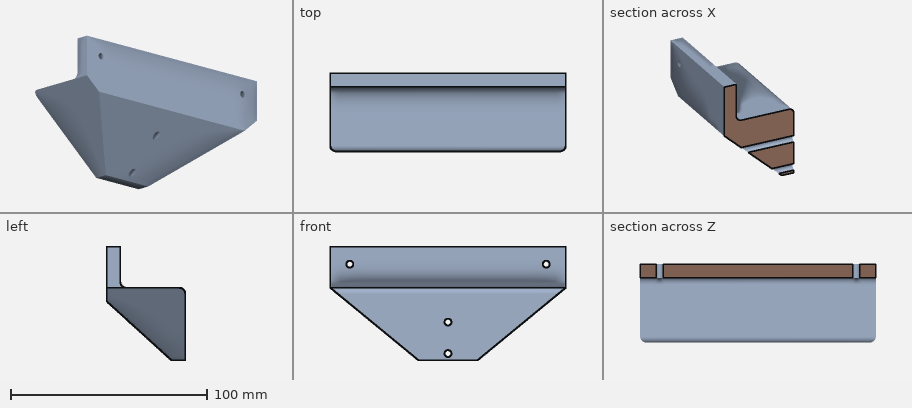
import cadquery as cq

width = 120.0
depth = 40.0
height = 58.0
wall = 7.0
shelf_top = 37.0
bend_radius = 3.0
foot_width = 30.0
hole_diameter = 3.4

upper_hole_spacing = 100.0
upper_hole_z = (height + shelf_top + bend_radius) / 2
lower_hole_heights = (3.5, 19.5)

shelf_underside = shelf_top - wall
back_plate_front = depth - wall


def side_profile_body():
    """Back plate, shelf and wedge-shaped front, extruded along X."""
    outline = [
        (0, 0),
        (wall, 0),
        (depth, shelf_underside),
        (depth, height),
        (back_plate_front, height),
        (back_plate_front, shelf_top),
        (0, shelf_top),
    ]
    return cq.Workplane("YZ").polyline(outline).close().extrude(width / 2, both=True)


def round_shelf_edges(body):
    """Round the shelf's front edge and its inner corner with the back plate."""
    middle_y = back_plate_front / 2
    shelf_face = body.faces(cq.selectors.NearestToPointSelector((0, middle_y, shelf_top)))
    return shelf_face.edges("|X").fillet(bend_radius)


def front_outline():
    """Prism along Y that tapers from the full width at the shelf to the foot."""
    outline = [
        (-foot_width / 2, 0),
        (foot_width / 2, 0),
        (width / 2, shelf_top),
        (width / 2, height),
        (-width / 2, height),
        (-width / 2, shelf_top),
    ]
    return cq.Workplane("XZ").polyline(outline).close().extrude(-depth)


def screw_holes():
    """Through holes along Y: two in the back plate, two in the front wedge."""
    places = [(side * upper_hole_spacing / 2, upper_hole_z) for side in (-1, 1)]
    places += [(0, z) for z in lower_hole_heights]
    return cq.Workplane("XZ").pushPoints(places).circle(hole_diameter / 2).extrude(-depth)


bracket = round_shelf_edges(side_profile_body())
result = bracket.intersect(front_outline()).cut(screw_holes())